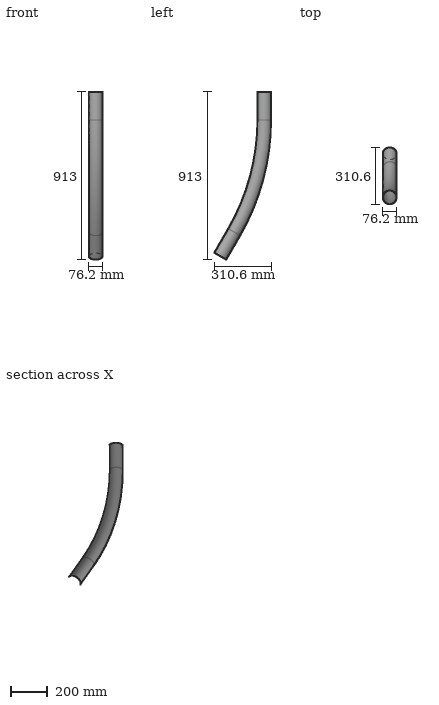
import cadquery as cq
import math

outer_diameter = 76.2
inner_diameter = 73.0
leg_length = 152.4
bend_radius = 1219.2
bend_angle = 30.0


def bend_point(angle_degrees):
    """Centreline point (Y, Z) at an angle into the bend, which starts at the origin."""
    angle = math.radians(angle_degrees)
    y = bend_radius * (1 - math.cos(angle))
    z = -bend_radius * math.sin(angle)
    return y, z


def tube_centreline():
    """Path from the upper end, down the upright leg and through the bend toward +Y."""
    end_y, end_z = bend_point(bend_angle)
    tilt = math.radians(bend_angle)
    lower_end = (
        end_y + leg_length * math.sin(tilt),
        end_z - leg_length * math.cos(tilt),
    )
    return (
        cq.Workplane("YZ")
        .moveTo(0, leg_length)
        .lineTo(0, 0)
        .threePointArc(bend_point(bend_angle / 2), (end_y, end_z))
        .lineTo(*lower_end)
    )


def bent_tube():
    """Ring section swept along the centreline, leaving both ends open and square."""
    ring = (
        cq.Workplane("XY")
        .workplane(offset=leg_length)
        .circle(outer_diameter / 2)
        .circle(inner_diameter / 2)
    )
    return ring.sweep(tube_centreline())


result = bent_tube()